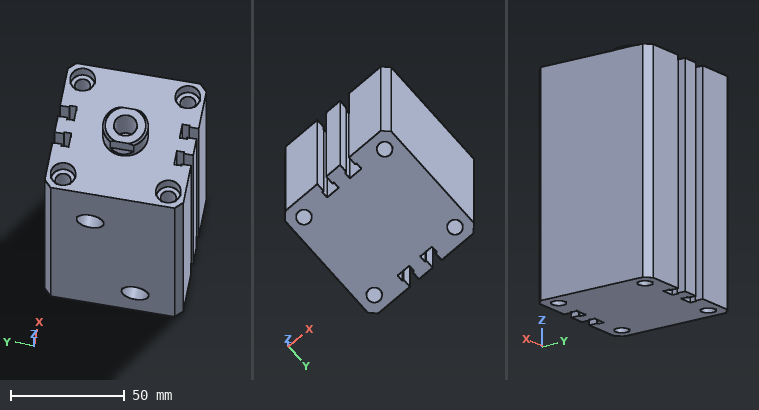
import cadquery as cq
import math


total_height = 118.0
housing_width = 62.0
rod_reach = 10.0
housing_height = total_height - rod_reach
half_width = housing_width / 2

corner_chamfer = 3.3
mount_offset = 23.5
mount_hole_diameter = 6.8
mount_counterbore_diameter = 11.0
mount_counterbore_depth = 6.5

slot_offset = 6.6
slot_neck_width = 5.2
slot_head_width = 6.7
slot_neck_depth = 4.2
slot_depth = 7.4

port_offset = 10.0
port_mouth_diameter = 12.2
port_floor_diameter = 10.7
port_depth = 10.6
lower_port_height = 17.0
upper_port_height = 81.0

rod_diameter = 20.0
rod_embedded_length = 23.6
rod_chamfer = 1.1
rod_length = rod_embedded_length + rod_reach
rod_base = total_height - rod_length

flat_spacing = 16.9
flat_length = 7.0

rod_hole_diameter = 10.1
rod_hole_depth = 17.7
drill_point_angle = 118.0


def make_slot(side_x, side_y):
    """T-slot cutter over the full housing height; each side is -1 or +1."""
    center_x = side_x * slot_offset
    neck_center_y = side_y * (half_width - slot_depth / 2)
    head_center_y = side_y * (half_width - (slot_neck_depth + slot_depth) / 2)
    neck = (
        cq.Workplane("XY")
        .center(center_x, neck_center_y)
        .rect(slot_neck_width, slot_depth)
        .extrude(housing_height)
    )
    head = (
        cq.Workplane("XY")
        .center(center_x, head_center_y)
        .rect(slot_head_width, slot_depth - slot_neck_depth)
        .extrude(housing_height)
    )
    return neck.union(head)


def make_port(center_y, center_z):
    """Flat-bottomed port cutter that narrows from the -X face inwards."""
    return cq.Solid.makeCone(
        port_mouth_diameter / 2,
        port_floor_diameter / 2,
        port_depth,
        pnt=cq.Vector(-half_width, center_y, center_z),
        dir=cq.Vector(1, 0, 0),
    )


def make_housing():
    housing = (
        cq.Workplane("XY")
        .rect(housing_width, housing_width)
        .extrude(housing_height)
        .edges("|Z")
        .chamfer(corner_chamfer)
    )

    housing = (
        housing.faces(">Z")
        .workplane(origin=(0, 0, housing_height))
        .rect(2 * mount_offset, 2 * mount_offset, forConstruction=True)
        .vertices()
        .cboreHole(mount_hole_diameter, mount_counterbore_diameter, mount_counterbore_depth)
    )

    for side_x in (-1, 1):
        for side_y in (-1, 1):
            housing = housing.cut(make_slot(side_x, side_y))

    housing = housing.cut(make_port(-port_offset, lower_port_height))
    housing = housing.cut(make_port(port_offset, upper_port_height))

    rod_bore = (
        cq.Workplane("XY", origin=(0, 0, rod_base))
        .circle(rod_diameter / 2)
        .extrude(rod_embedded_length)
    )
    return housing.cut(rod_bore)


def make_flat_cutter(side):
    """Cutter for one wrench flat, ending in a 45 degree run-out; side is -1 or +1."""
    inner_x = flat_spacing / 2
    outer_x = rod_diameter
    flat_bottom = total_height - flat_length
    profile = [
        (side * inner_x, total_height),
        (side * inner_x, flat_bottom),
        (side * outer_x, flat_bottom - (outer_x - inner_x)),
        (side * outer_x, total_height),
    ]
    return cq.Workplane("XZ").polyline(profile).close().extrude(rod_diameter / 2, both=True)


def make_rod_hole():
    """Drilled hole cutter with a conical bottom, turned about the rod axis."""
    radius = rod_hole_diameter / 2
    cone_top = total_height - rod_hole_depth
    cone_tip = cone_top - radius / math.tan(math.radians(drill_point_angle / 2))
    profile = [(0, total_height), (radius, total_height), (radius, cone_top), (0, cone_tip)]
    return cq.Workplane("XZ").polyline(profile).close().revolve(360, (0, 0), (0, 1))


def make_rod():
    rod = (
        cq.Workplane("XY", origin=(0, 0, rod_base))
        .circle(rod_diameter / 2)
        .extrude(rod_length)
        .faces(">Z")
        .chamfer(rod_chamfer)
    )
    for side in (-1, 1):
        rod = rod.cut(make_flat_cutter(side))
    return rod.cut(make_rod_hole())


housing = make_housing()
rod = make_rod()

result = cq.Compound.makeCompound([housing.val(), rod.val()])